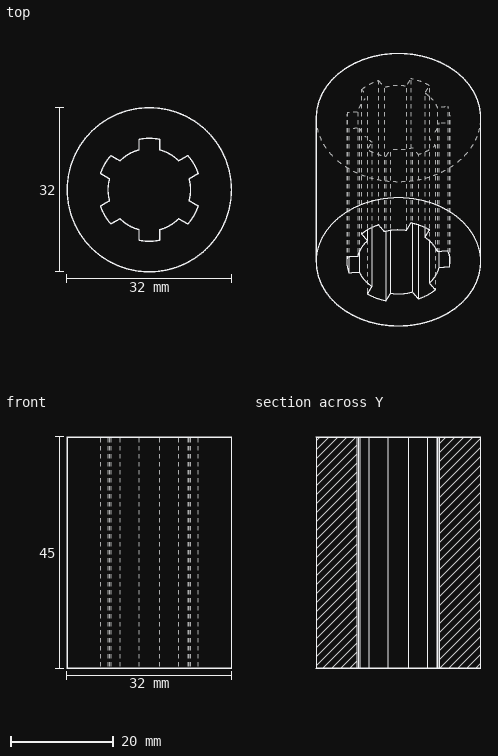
import cadquery as cq

outer_diameter = 32.0
length = 45.0

minor_diameter = 16.0
major_diameter = 20.0
groove_width = 4.0
groove_count = 6
first_groove_angle = 90.0


def cylinder(diameter):
    """Full-length cylinder about the Z axis, standing on the XY plane."""
    return cq.Workplane("XY").circle(diameter / 2).extrude(length)


def groove(angle):
    """Radial bar from the axis, rounded off at the major diameter."""
    bar = (
        cq.Workplane("XY")
        .rect(major_diameter, groove_width)
        .extrude(length)
        .translate((major_diameter / 2, 0, 0))
        .rotate((0, 0, 0), (0, 0, 1), angle)
    )
    return bar.intersect(cylinder(major_diameter))


def splined_bore():
    """Minor bore joined with the evenly spaced grooves."""
    bore = cylinder(minor_diameter)
    for index in range(groove_count):
        bore = bore.union(groove(first_groove_angle + index * 360.0 / groove_count))
    return bore


result = cylinder(outer_diameter).cut(splined_bore())